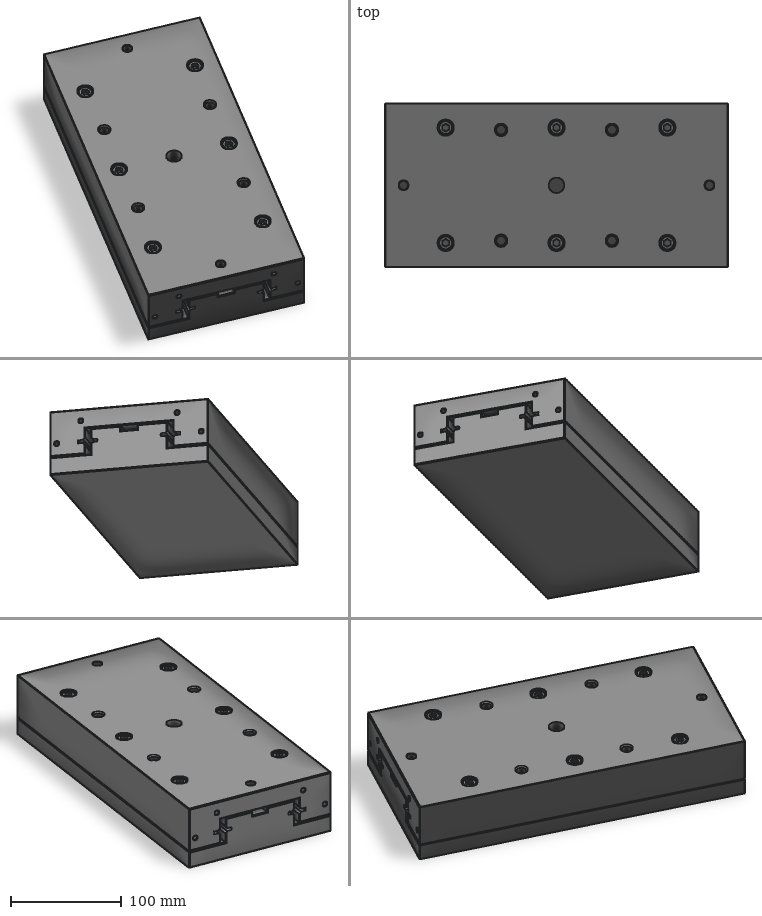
import cadquery as cq
import math

LENGTH = 310.0
WIDTH = 148.0
HEIGHT = 60.0
END_CHAMFER = 1.0
LONG_EDGE_CHAMFER = 0.5

PLATE_TOP = 16.6
RAIL_WIDTH = 72.0
RAIL_TOP = 41.0
CABLE_SLOT_WIDTH = 15.0
CABLE_SLOT_DEPTH = 4.5

RUNNING_GAP = 0.5
CHANNEL_WIDTH = 82.0
CHANNEL_TOP = RAIL_TOP + RUNNING_GAP
CARRIAGE_BOTTOM = PLATE_TOP + RUNNING_GAP

RACEWAY_Y = (RAIL_WIDTH + CHANNEL_WIDTH) / 4
RACEWAY_Z = 29.25
RACEWAY_DIAMETER = 9.0
CARRIAGE_RELIEF_REACH = 9.3
RAIL_RELIEF_REACH = 9.0
RELIEF_HEIGHT = 3.0

SCREW_PITCH_X = 100.0
SCREW_Y = 52.0
COUNTERBORE_DIAMETER = 14.0
COUNTERBORE_DEPTH = 9.0
COUNTERBORE_CHAMFER = 0.4
HEAD_DIAMETER = 13.0
HEAD_RECESS = 1.2
HEAD_CHAMFER = 0.75
HEX_ACROSS_CORNERS = 7.1
HEX_DEPTH = 4.0

MOUNT_X = 50.0
MOUNT_Y = 50.0
MOUNT_DIAMETER = 8.6
MOUNT_MOUTH_DIAMETER = 11.4
MOUNT_DEPTH = 17.0

CENTRE_HOLE_DIAMETER = 14.0
DOWEL_X = 138.0
DOWEL_DIAMETER = 8.0
DOWEL_CHAMFER = 0.5

END_HOLE_DIAMETER = 4.0
END_HOLE_CHAMFER = 0.5
END_HOLE_DEPTH = 10.0
DRILL_POINT_ANGLE = 118.0
END_HOLES_UPPER = (45.0, 49.0)
END_HOLES_LOWER = (67.6, RACEWAY_Z)


def block(width, bottom, top):
    """Full-length block centred on X and Y."""
    base_plane = cq.Workplane("XY").workplane(offset=bottom)
    return base_plane.rect(LENGTH, width).extrude(top - bottom)


def chamfer_outline(body):
    """Break every edge of the two end faces and the four long outer corners."""
    body = body.faces("<X or >X").edges().chamfer(END_CHAMFER)
    return body.edges("|X").edges("<Y or >Y").chamfer(LONG_EDGE_CHAMFER)


def full_length(sketch):
    """Run a section drawn on the YZ plane along the full length."""
    return sketch.extrude(LENGTH / 2, both=True)


def raceways(relief):
    """Round roller tracks on both sides, joined with the relief slot of the +Y side and its mirror image."""
    track = full_length(cq.Workplane("YZ").center(RACEWAY_Y, RACEWAY_Z).circle(RACEWAY_DIAMETER / 2))
    groove = track.union(relief)
    return groove.union(groove.mirror("XZ"))


def carriage_relief():
    """Square-ended slot reaching outward from the track centre."""
    centre_y = RACEWAY_Y + CARRIAGE_RELIEF_REACH / 2
    slot = cq.Workplane("YZ").center(centre_y, RACEWAY_Z)
    return full_length(slot.rect(CARRIAGE_RELIEF_REACH, RELIEF_HEIGHT))


def rail_relief():
    """Round-ended slot centred on the track; its inner half cuts into the rail."""
    slot = cq.Workplane("YZ").center(RACEWAY_Y, RACEWAY_Z)
    return full_length(slot.slot2D(2 * RAIL_RELIEF_REACH, RELIEF_HEIGHT))


def countersunk_hole(diameter, mouth_diameter, depth, point_depth=0):
    """Cutter for a hole going down from the origin, with a 45 degree mouth and an optional drill point."""
    radius = diameter / 2
    mouth_radius = mouth_diameter / 2
    profile = [
        (0, 0),
        (mouth_radius, 0),
        (radius, radius - mouth_radius),
        (radius, -depth),
        (0, -depth - point_depth),
    ]
    return cq.Workplane("XZ").polyline(profile).close().revolve(360, (0, 0, 0), (0, 1, 0))


def screw_recess():
    """Cutter that leaves a hex socket screw head standing in a counterbore."""
    mouth_diameter = COUNTERBORE_DIAMETER + 2 * COUNTERBORE_CHAMFER
    bore = countersunk_hole(COUNTERBORE_DIAMETER, mouth_diameter, COUNTERBORE_DEPTH)
    head = (
        cq.Workplane("XY")
        .workplane(offset=-COUNTERBORE_DEPTH)
        .circle(HEAD_DIAMETER / 2)
        .extrude(COUNTERBORE_DEPTH - HEAD_RECESS)
        .faces(">Z")
        .chamfer(HEAD_CHAMFER)
    )
    socket = (
        cq.Workplane("XY")
        .workplane(offset=-HEAD_RECESS)
        .transformed(rotate=(0, 0, 90))
        .polygon(6, HEX_ACROSS_CORNERS)
        .extrude(-HEX_DEPTH)
    )
    return bore.cut(head.cut(socket))


def make_base():
    """Plate and central rail with a cable slot along the rail top."""
    plate = block(WIDTH, 0, PLATE_TOP)
    rail = block(RAIL_WIDTH, PLATE_TOP, RAIL_TOP)
    slot = block(CABLE_SLOT_WIDTH, RAIL_TOP - CABLE_SLOT_DEPTH, RAIL_TOP)
    body = chamfer_outline(plate.union(rail).cut(slot))
    return body.cut(raceways(rail_relief()))


def make_carriage():
    """Channel-shaped slide with its screws, mounting holes, dowel holes and end holes."""
    body = block(WIDTH, CARRIAGE_BOTTOM, HEIGHT)
    channel = block(CHANNEL_WIDTH, CARRIAGE_BOTTOM, CHANNEL_TOP)
    body = chamfer_outline(body.cut(channel)).cut(raceways(carriage_relief()))

    for column in (-1, 0, 1):
        for side in (-1, 1):
            body = body.cut(screw_recess().translate((column * SCREW_PITCH_X, side * SCREW_Y, HEIGHT)))

    mount = countersunk_hole(MOUNT_DIAMETER, MOUNT_MOUTH_DIAMETER, MOUNT_DEPTH)
    for x in (-MOUNT_X, MOUNT_X):
        for y in (-MOUNT_Y, MOUNT_Y):
            body = body.cut(mount.translate((x, y, HEIGHT)))

    web = HEIGHT - CHANNEL_TOP
    dowel = countersunk_hole(DOWEL_DIAMETER, DOWEL_DIAMETER + 2 * DOWEL_CHAMFER, web)
    for x in (-DOWEL_X, DOWEL_X):
        body = body.cut(dowel.translate((x, 0, HEIGHT)))
    centre_hole = cq.Workplane("XY").workplane(offset=HEIGHT).circle(CENTRE_HOLE_DIAMETER / 2).extrude(-web)
    body = body.cut(centre_hole)

    point_depth = END_HOLE_DIAMETER / 2 / math.tan(math.radians(DRILL_POINT_ANGLE / 2))
    mouth_diameter = END_HOLE_DIAMETER + 2 * END_HOLE_CHAMFER
    tapped = countersunk_hole(END_HOLE_DIAMETER, mouth_diameter, END_HOLE_DEPTH, point_depth)
    for end in (-1, 1):
        drill = tapped.rotate((0, 0, 0), (0, 1, 0), end * 90).translate((end * LENGTH / 2, 0, 0))
        for y, z in (END_HOLES_UPPER, END_HOLES_LOWER):
            for side in (-1, 1):
                body = body.cut(drill.translate((0, side * y, z)))
    return body


base = make_base()
carriage = make_carriage()
result = cq.Compound.makeCompound([base.val(), carriage.val()])